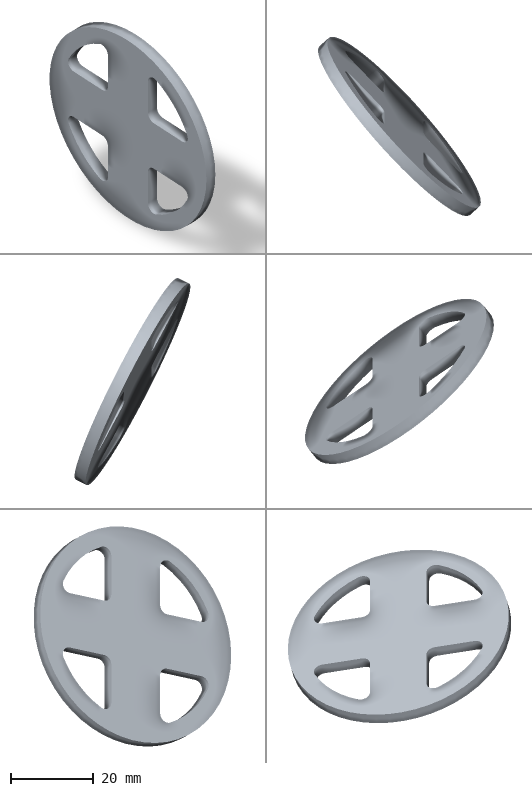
import cadquery as cq
import math

disc_diameter = 54.7
thickness = 3.0

spoke_width = 14.0
window_outer_radius = 22.9
corner_radius = 2.0

half_spoke = spoke_width / 2
window_reach = math.sqrt(window_outer_radius**2 - half_spoke**2)
arc_middle = window_outer_radius * math.cos(math.radians(45))


def make_disc():
    """Flat disc with its axis along Y and its back face on the XZ plane."""
    return cq.Workplane("XZ").circle(disc_diameter / 2).extrude(thickness)


def make_window():
    """Cutter for the +X, +Z window: two straight sides, an outer arc and rounded corners."""
    return (
        cq.Workplane("XZ")
        .moveTo(half_spoke, half_spoke)
        .lineTo(window_reach, half_spoke)
        .threePointArc((arc_middle, arc_middle), (half_spoke, window_reach))
        .close()
        .extrude(thickness, both=True)
        .edges("|Y")
        .fillet(corner_radius)
    )


window_count = 4
result = make_disc()
window = make_window()
for index in range(window_count):
    angle = index * 360 / window_count
    result = result.cut(window.rotate((0, 0, 0), (0, 1, 0), angle))